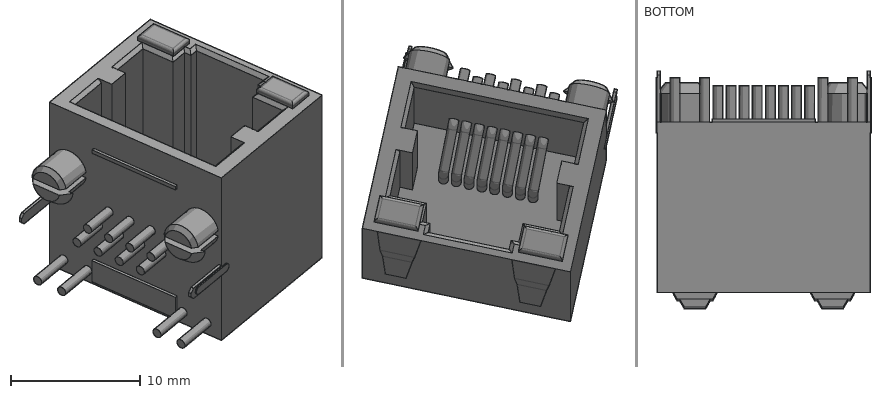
import cadquery as cq
import math


BODY_WIDTH = 16.5
BODY_DEPTH = 13.21
BODY_HEIGHT = 15.75
HALF_WIDTH = BODY_WIDTH / 2

CAVITY_DEPTH = 11.7
CAVITY_FLOOR = BODY_HEIGHT - CAVITY_DEPTH
CAVITY_HALF_WIDTH = 6.7
CAVITY_FRONT = 1.27
MOUTH_CHAMFER = 0.31
COLUMN_FRONT = 10.14
COLUMN_HALF_GAP = 3.82
LATCH_SHELF = 11.65
LATCH_HALF_WIDTH = 3.2
CAVITY_BACK = 12.38

RIB_HALF_GAP = 5.71
RIB_FRONT = 4.7
RIB_BACK = 6.5

LAMP_X = 5.71
LAMP_Y = 11.48
LAMP_WIDTH = 3.48
LAMP_DEPTH = 2.1
LAMP_RISE = 0.5
LAMP_ROUND = 0.25

STRIP_WIDTH = 8.0
STRIP_RISE = 0.24
LOWER_STRIP_BOTTOM = 0.39
LOWER_STRIP_HEIGHT = 2.05
UPPER_STRIP_BOTTOM = 12.85
UPPER_STRIP_HEIGHT = 0.33

WIRE_RADIUS = 0.39
CONTACT_COUNT = 8
CONTACT_PITCH = 1.01
CONTACT_PIN_LENGTH = 2.82
LOWER_ROW_Z = 5.95
UPPER_ROW_Z = 7.72
LAMP_PIN_X = (4.57, 6.87)
LAMP_PIN_Z = 1.15
LAMP_PIN_LENGTH = 3.43

CONTACT_SLOPE = math.radians(28)
ENTRY_BEND_RADIUS = 1.47
SLOPE_START_Y = 1.94
SLOPE_END_Y = 4.94
TIP_BEND_RADIUS = 0.42

PEG_X = 6.34
PEG_Z = 10.25
PEG_RADIUS = 1.62
PEG_LENGTH = 3.05
PEG_END_RADIUS = 1.29
PEG_CHAMFER_LENGTH = 0.4
PEG_SLOT = 0.52
BARB_RADIUS = 1.99
BARB_START = 2.21

TAB_Z = 6.78
TAB_WIDTH = 1.0
TAB_THICKNESS = 0.24
TAB_LENGTH = 3.96
TAB_CHAMFER = 0.31
TAB_RIDGE_WIDTH = 0.72
TAB_RIDGE_RISE = 0.11
TAB_RIDGE_BACK = 0.85
TAB_RIDGE_FRONT = -3.43

SPRING_X = 5.33
SPRING_REACH = 1.25
SPRING_KINK_REACH = 0.65
SPRING_THICKNESS = 0.15
SPRING_ROOT_DROP = 0.13
SPRING_UPPER_KINK_DROP = 3.13
SPRING_LOWER_KINK_DROP = 4.87
SPRING_TIP_DROP = 7.85
SPRING_ROOT_WIDTH = 3.46
SPRING_TIP_WIDTH = 1.65


def block(x_range, y_range, z_range):
    """Axis-aligned box between the given limits."""
    (x0, x1), (y0, y1), (z0, z1) = x_range, y_range, z_range
    return cq.Workplane("XY").box(x1 - x0, y1 - y0, z1 - z0, centered=False).translate((x0, y0, z0))


def both_sides(shape):
    """The shape together with its mirror image across the middle plane."""
    return shape.union(shape.mirror("YZ"))


def make_housing():
    housing = block((-HALF_WIDTH, HALF_WIDTH), (0, BODY_DEPTH), (0, BODY_HEIGHT))
    right_half = [
        (CAVITY_HALF_WIDTH, CAVITY_FRONT),
        (CAVITY_HALF_WIDTH, COLUMN_FRONT),
        (COLUMN_HALF_GAP, COLUMN_FRONT),
        (COLUMN_HALF_GAP, LATCH_SHELF),
        (LATCH_HALF_WIDTH, LATCH_SHELF),
        (LATCH_HALF_WIDTH, CAVITY_BACK),
    ]
    left_half = [(-x, y) for x, y in reversed(right_half)]
    cavity = (
        cq.Workplane("XY").workplane(offset=CAVITY_FLOOR)
        .polyline(right_half + left_half).close().extrude(CAVITY_DEPTH)
    )
    housing = housing.cut(cavity)
    inside = CAVITY_FRONT / 2
    mouth = cq.selectors.BoxSelector(
        (inside - HALF_WIDTH, inside, CAVITY_FLOOR),
        (HALF_WIDTH - inside, BODY_DEPTH - inside, 2 * BODY_HEIGHT),
    )
    housing = housing.faces(">Z").edges(mouth).chamfer(MOUTH_CHAMFER)
    rib = block((RIB_HALF_GAP, HALF_WIDTH), (RIB_FRONT, RIB_BACK), (CAVITY_FLOOR, BODY_HEIGHT))
    return housing.union(both_sides(rib))


def make_lamp():
    lamp = cq.Workplane("XY").box(LAMP_WIDTH, LAMP_DEPTH, LAMP_RISE, centered=(True, True, False))
    lamp = lamp.faces(">Z").edges().fillet(LAMP_ROUND)
    return lamp.translate((LAMP_X, LAMP_Y, BODY_HEIGHT))


def make_strip(bottom, height):
    half = STRIP_WIDTH / 2
    return block((-half, half), (-STRIP_RISE, 0), (bottom, bottom + height))


def make_pin(x, z, length):
    """Round pin standing out from the board face."""
    return cq.Workplane("XZ").center(x, z).circle(WIRE_RADIUS).extrude(length)


def make_contact(x):
    """Wire leaving the front wall level, sloping down and turning down to the floor."""
    sine = math.sin(CONTACT_SLOPE)
    cosine = math.cos(CONTACT_SLOPE)
    half_sine = math.sin(CONTACT_SLOPE / 2)
    half_cosine = math.cos(CONTACT_SLOPE / 2)
    entry_y = SLOPE_START_Y - ENTRY_BEND_RADIUS * sine
    entry_center_z = UPPER_ROW_Z - ENTRY_BEND_RADIUS
    slope_start_z = entry_center_z + ENTRY_BEND_RADIUS * cosine
    slope_end_z = slope_start_z - (SLOPE_END_Y - SLOPE_START_Y) * math.tan(CONTACT_SLOPE)
    tip_center_y = SLOPE_END_Y - TIP_BEND_RADIUS * sine
    tip_center_z = slope_end_z - TIP_BEND_RADIUS * cosine
    tip_mid_angle = (math.pi / 2 - CONTACT_SLOPE) / 2
    path = (
        cq.Workplane("YZ", origin=(x, 0, 0))
        .moveTo(0, UPPER_ROW_Z)
        .lineTo(entry_y, UPPER_ROW_Z)
        .threePointArc(
            (entry_y + ENTRY_BEND_RADIUS * half_sine, entry_center_z + ENTRY_BEND_RADIUS * half_cosine),
            (SLOPE_START_Y, slope_start_z),
        )
        .lineTo(SLOPE_END_Y, slope_end_z)
        .threePointArc(
            (
                tip_center_y + TIP_BEND_RADIUS * math.cos(tip_mid_angle),
                tip_center_z + TIP_BEND_RADIUS * math.sin(tip_mid_angle),
            ),
            (tip_center_y + TIP_BEND_RADIUS, tip_center_z),
        )
        .lineTo(tip_center_y + TIP_BEND_RADIUS, CAVITY_FLOOR)
    )
    return cq.Workplane("XZ", origin=(x, 0, UPPER_ROW_Z)).circle(WIRE_RADIUS).sweep(path)


def make_peg_half(side_points, side):
    """Half of a turned peg: side 1 keeps the part above the slot, side -1 the part below."""
    turned = (
        cq.Workplane("XY").polyline([(0, 0)] + side_points + [(0, -PEG_LENGTH)]).close()
        .revolve(360, (0, 0, 0), (0, 1, 0))
    )
    kept = cq.Workplane("XY").box(2 * BARB_RADIUS, 2 * PEG_LENGTH, BARB_RADIUS)
    kept = kept.translate((0, 0, side * (PEG_SLOT + BARB_RADIUS) / 2))
    return turned.intersect(kept).translate((PEG_X, 0, PEG_Z))


def make_peg():
    plain_side = [
        (PEG_RADIUS, 0),
        (PEG_RADIUS, PEG_CHAMFER_LENGTH - PEG_LENGTH),
        (PEG_END_RADIUS, -PEG_LENGTH),
    ]
    barbed_side = [
        (PEG_RADIUS, 0),
        (PEG_RADIUS, -BARB_START),
        (BARB_RADIUS, -BARB_START),
        (PEG_END_RADIUS, -PEG_LENGTH),
    ]
    return make_peg_half(plain_side, 1).union(make_peg_half(barbed_side, -1))


def make_tab():
    """Flat board tab with a raised round-ended ridge running onto the housing side."""
    plate = block(
        (HALF_WIDTH - TAB_THICKNESS, HALF_WIDTH),
        (-TAB_LENGTH, 0),
        (TAB_Z - TAB_WIDTH / 2, TAB_Z + TAB_WIDTH / 2),
    )
    plate = plate.faces("<Y").edges("|X").chamfer(TAB_CHAMFER)
    ridge = (
        cq.Workplane("YZ", origin=(HALF_WIDTH, (TAB_RIDGE_BACK + TAB_RIDGE_FRONT) / 2, TAB_Z))
        .slot2D(TAB_RIDGE_BACK - TAB_RIDGE_FRONT, TAB_RIDGE_WIDTH).extrude(TAB_RIDGE_RISE)
    )
    return plate.union(ridge)


def make_spring():
    """Tapering leaf spring: a strip bent twice, narrowing from root to tip."""
    root_z = BODY_HEIGHT - SPRING_ROOT_DROP
    tip_z = BODY_HEIGHT - SPRING_TIP_DROP
    outer_edge = [
        (BODY_DEPTH, root_z),
        (BODY_DEPTH + SPRING_KINK_REACH, BODY_HEIGHT - SPRING_UPPER_KINK_DROP),
        (BODY_DEPTH + SPRING_KINK_REACH, BODY_HEIGHT - SPRING_LOWER_KINK_DROP),
        (BODY_DEPTH + SPRING_REACH, tip_z),
    ]
    inner_edge = [(y - SPRING_THICKNESS, z) for y, z in reversed(outer_edge)]
    bent_strip = (
        cq.Workplane("YZ").polyline(outer_edge + inner_edge).close()
        .extrude(SPRING_ROOT_WIDTH / 2, both=True)
    )
    taper = (
        cq.Workplane("XZ")
        .polyline([
            (-SPRING_ROOT_WIDTH / 2, root_z),
            (SPRING_ROOT_WIDTH / 2, root_z),
            (SPRING_TIP_WIDTH / 2, tip_z),
            (-SPRING_TIP_WIDTH / 2, tip_z),
        ])
        .close().extrude(-2 * BODY_DEPTH)
    )
    return bent_strip.intersect(taper).translate((SPRING_X, 0, 0))


result = make_housing()

for side_feature in (make_lamp(), make_peg(), make_tab(), make_spring()):
    result = result.union(both_sides(side_feature))

result = result.union(make_strip(LOWER_STRIP_BOTTOM, LOWER_STRIP_HEIGHT))
result = result.union(make_strip(UPPER_STRIP_BOTTOM, UPPER_STRIP_HEIGHT))

for pin_x in LAMP_PIN_X:
    result = result.union(both_sides(make_pin(pin_x, LAMP_PIN_Z, LAMP_PIN_LENGTH)))

for index in range(CONTACT_COUNT):
    contact_x = (index - (CONTACT_COUNT - 1) / 2) * CONTACT_PITCH
    row_z = LOWER_ROW_Z if index % 2 == 0 else UPPER_ROW_Z
    result = result.union(make_pin(contact_x, row_z, CONTACT_PIN_LENGTH))
    result = result.union(make_contact(contact_x))